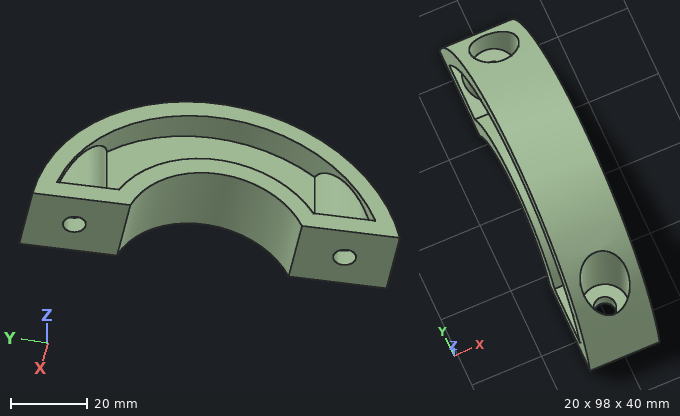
import cadquery as cq

width = 20.0
length = 98.0
outer_radius = 50.02
bore_radius = 25.0
wall = 5.0
pocket_depth = 8.0
screw_spacing = 72.0
screw_diameter = 6.0
head_diameter = 13.0
boss_diameter = 17.0

axis_drop = (outer_radius**2 - (length / 2) ** 2) ** 0.5
screw_positions = [(0, -screw_spacing / 2), (0, screw_spacing / 2)]


def ring_segment(large_radius, small_radius, floor, x_start, depth):
    """Part of a ring about the X axis that lies above the height `floor`."""
    ring = (
        cq.Workplane("YZ", origin=(x_start, 0, -axis_drop))
        .circle(large_radius)
        .circle(small_radius)
        .extrude(depth)
    )
    upper_half_space = cq.Workplane("XY", origin=(0, 0, floor)).rect(
        2 * width, 2 * outer_radius
    ).extrude(outer_radius)
    return ring.intersect(upper_half_space)


def screw_cylinders(diameter, bottom):
    """Vertical cylinders at both screws, reaching above the part."""
    return (
        cq.Workplane("XY", origin=(0, 0, bottom))
        .pushPoints(screw_positions)
        .circle(diameter / 2)
        .extrude(outer_radius)
    )


body = ring_segment(outer_radius, bore_radius, 0, -width / 2, width)

pocket = ring_segment(
    outer_radius - wall, bore_radius + wall, wall, -width / 2, pocket_depth
).cut(screw_cylinders(boss_diameter, 0))

result = (
    body.cut(pocket)
    .cut(screw_cylinders(screw_diameter, 0))
    .cut(screw_cylinders(head_diameter, wall))
)